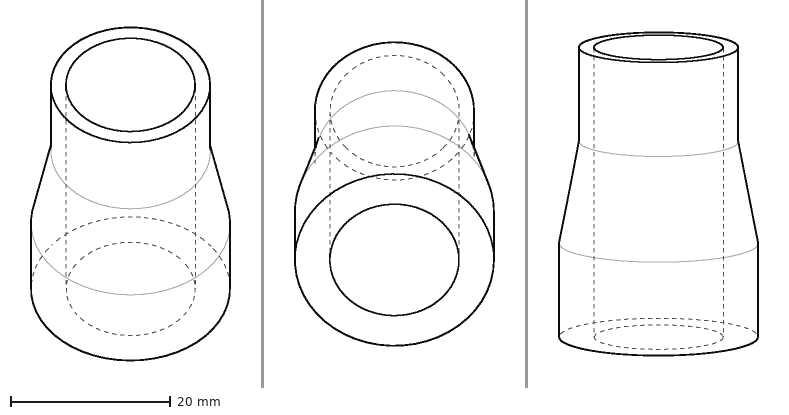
import cadquery as cq

total_height = 37.0
socket_length = 12.0
lower_diameter = 25.0
upper_diameter = 20.0
bore_diameter = 16.2

lower_radius = lower_diameter / 2
upper_radius = upper_diameter / 2
taper_top = total_height - socket_length

outer_body = (
    cq.Workplane("XZ")
    .moveTo(0, 0)
    .lineTo(lower_radius, 0)
    .lineTo(lower_radius, socket_length)
    .lineTo(upper_radius, taper_top)
    .lineTo(upper_radius, total_height)
    .lineTo(0, total_height)
    .close()
    .revolve(360, (0, 0, 0), (0, 1, 0))
)

bore = cq.Workplane("XY").circle(bore_diameter / 2).extrude(total_height)

result = outer_body.cut(bore)